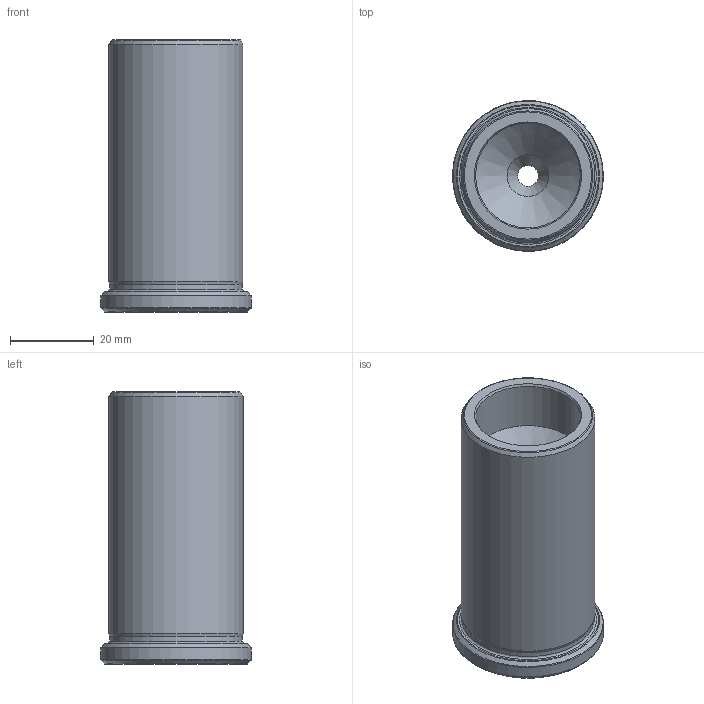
import cadquery as cq
import math

total_height = 65.0
body_diameter = 32.0
lead_in_height = 1.1
lead_in_angle = 30.0
lead_in_blend = 0.3

flange_diameter = 36.0
flange_height = 5.0
flange_chamfer = 1.0
flange_blend = 0.3

groove_diameter = 31.7
groove_corner_radius = 0.5
groove_straight_top = 6.6
groove_top = 7.2

bore_diameter = 25.0
bore_depth = 12.0
bore_chamfer_radial = 0.3
bore_chamfer_angle = 30.0
throat_diameter = 10.0
outlet_diameter = 5.0
funnel_half_angle = 45.0
throat_half_angle = 30.0

body_radius = body_diameter / 2
flange_radius = flange_diameter / 2
groove_radius = groove_diameter / 2
bore_radius = bore_diameter / 2
throat_radius = throat_diameter / 2
outlet_radius = outlet_diameter / 2
flange_face_radius = flange_radius - flange_chamfer
top_face_radius = body_radius - lead_in_height * math.tan(math.radians(lead_in_angle))
FULL_TURN = 360


def cone_height(radial_change, half_angle):
    """Axial length of a cone whose radius changes by radial_change."""
    return radial_change / math.tan(math.radians(half_angle))


def revolve_profile(outline):
    """Close a radius-height outline and turn it around the Z axis."""
    return outline.close().revolve(FULL_TURN, (0, 0, 0), (0, 1, 0))


class RimSelector(cq.Selector):
    """Picks the circular edge around the Z axis with a given radius and height."""

    TOLERANCE = 1e-4

    def __init__(self, radius, height):
        self.radius = radius
        self.height = height

    def matches(self, edge):
        if edge.geomType() != "CIRCLE":
            return False
        radius_error = abs(edge.radius() - self.radius)
        height_error = abs(edge.Center().z - self.height)
        return max(radius_error, height_error) < self.TOLERANCE

    def filter(self, objects):
        return [edge for edge in objects if self.matches(edge)]


def make_body():
    """Solid body, relief groove and flange, without the funnel."""
    arc_offset = groove_corner_radius * (1 - math.sqrt(0.5))
    outline = (
        cq.Workplane("XZ")
        .lineTo(flange_face_radius, 0)
        .lineTo(flange_radius, flange_chamfer)
        .lineTo(flange_radius, flange_height - flange_chamfer)
        .lineTo(flange_face_radius, flange_height)
        .lineTo(groove_radius + groove_corner_radius, flange_height)
        .threePointArc(
            (groove_radius + arc_offset, flange_height + arc_offset),
            (groove_radius, flange_height + groove_corner_radius),
        )
        .lineTo(groove_radius, groove_straight_top)
        .lineTo(body_radius, groove_top)
        .lineTo(body_radius, total_height - lead_in_height)
        .lineTo(top_face_radius, total_height)
        .lineTo(0, total_height)
    )
    return revolve_profile(outline)


def blend_body_edges(body):
    """Soften the corners of the flange chamfers and the top of the lead-in."""
    blends = [
        (flange_face_radius, 0, flange_blend),
        (flange_radius, flange_chamfer, flange_blend),
        (flange_radius, flange_height - flange_chamfer, flange_blend),
        (flange_face_radius, flange_height, flange_blend),
        (top_face_radius, total_height, lead_in_blend),
    ]
    for rim_radius, height, blend_radius in blends:
        body = body.edges(RimSelector(rim_radius, height)).fillet(blend_radius)
    return body


def make_funnel():
    """Volume removed along the axis, from the bore down to the outlet."""
    funnel_top = total_height - bore_depth
    throat_top = funnel_top - cone_height(bore_radius - throat_radius, funnel_half_angle)
    outlet_top = throat_top - cone_height(throat_radius - outlet_radius, throat_half_angle)
    bore_chamfer_height = cone_height(bore_chamfer_radial, bore_chamfer_angle)
    outline = (
        cq.Workplane("XZ")
        .lineTo(outlet_radius, 0)
        .lineTo(outlet_radius, outlet_top)
        .lineTo(throat_radius, throat_top)
        .lineTo(bore_radius, funnel_top)
        .lineTo(bore_radius, total_height - bore_chamfer_height)
        .lineTo(bore_radius + bore_chamfer_radial, total_height)
        .lineTo(0, total_height)
    )
    return revolve_profile(outline)


result = blend_body_edges(make_body()).cut(make_funnel())